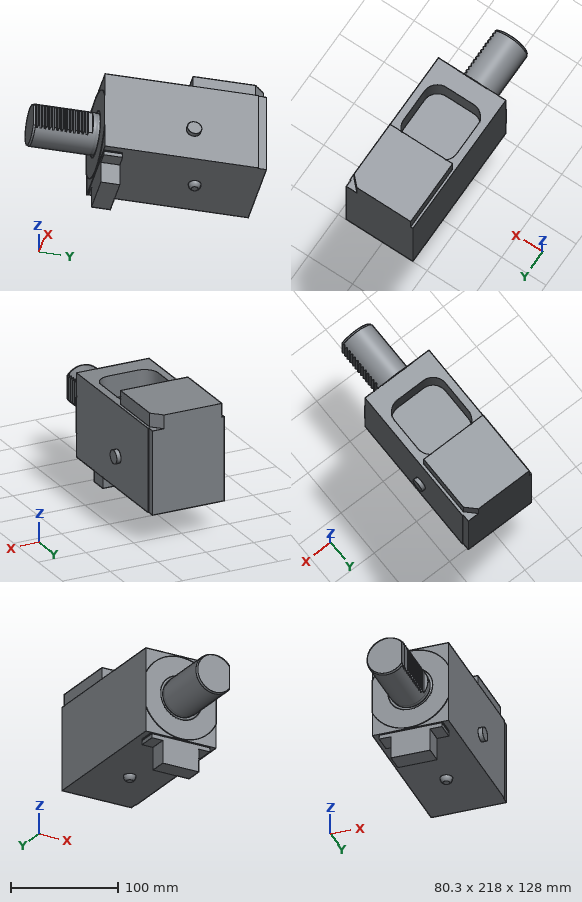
import cadquery as cq


body_width = 75.9
body_height = 85.5
body_length = 154.5
body_half_width = body_width / 2
body_top = 43.0
body_bottom = body_top - body_height

step_depth = 0.9
step_length = 7.8

pad_width = 70.5
pad_length = 69.8
pad_height = 14.0
pad_offset = -0.2
pad_corner_cut = 10.0

pocket_width = 60.0
pocket_length = 63.9
pocket_depth = 23.3
pocket_corner_radius = 14.5
pocket_center_y = 52.3

disc_diameter = 83.7
disc_height = 0.7
recess_diameter = 44.5

overall_length = 218
shank_diameter = 40.0
neck_diameter = 38.8
neck_length = 4.0
shank_length = overall_length - body_length
shank_radius = shank_diameter / 2
neck_radius = neck_diameter / 2
tip_chamfer_length = 2.0
tip_chamfer_depth = 0.9
shoulder_chamfer_length = 2.0

seal_radius = (recess_diameter - neck_diameter) / 4
seal_center_radius = (recess_diameter + neck_diameter) / 4
recess_floor_y = seal_radius - disc_height

flat_offset = 16.1
flat_start = 7.0
groove_count = 13
first_groove = 12.2
groove_span = 48
groove_pitch = groove_span / (groove_count - 1)
groove_depth = 1.5
groove_floor_width = 1.0
groove_mouth_width = 2.8

pin_diameter = 13.7
pin_length = 4.4
pin_y = 84.5
pin_z = -9.2

foot_length = 18.0
foot_plate_width = 62.5
foot_plate_height = 5.2
foot_stem_width = 39.0
foot_height = 28.5
foot_lip_width = 63.9
foot_lip_height = 1.0
foot_lip_setback = 0.1
foot_lip_corner_cut = 1.0
foot_setback = 0.2

ball_diameter = 12.0
ball_flat_diameter = 6.3
ball_y = 94.5


def block(width, length, height, x_center, y_start, z_start):
    """Box centred in X, running back from y_start and up from z_start."""
    return (
        cq.Workplane("XY")
        .box(width, length, height, centered=(True, False, False))
        .translate((x_center, y_start, z_start))
    )


def forward_cylinder(diameter, y_start, length):
    """Cylinder on the shank axis, running toward -Y from y_start."""
    return (
        cq.Workplane("XZ", origin=(0, y_start, 0))
        .circle(diameter / 2)
        .extrude(length)
    )


def make_housing():
    housing = block(body_width, body_length, body_height, 0, 0, body_bottom)
    step = block(
        2 * step_depth, step_length, body_height,
        body_half_width, body_length - step_length, body_bottom,
    )
    pocket = (
        block(
            pocket_width, pocket_length, pocket_depth,
            0, pocket_center_y - pocket_length / 2, body_top - pocket_depth,
        )
        .edges("|Z")
        .fillet(pocket_corner_radius)
    )
    return housing.cut(step).cut(pocket)


def make_pad():
    pad = block(
        pad_width, pad_length, pad_height,
        pad_offset, body_length - pad_length, body_top,
    )
    return pad.edges("|Z and >X and >Y").chamfer(pad_corner_cut)


def make_front_disc():
    disc = forward_cylinder(disc_diameter, 0, disc_height)
    trim = block(body_width, disc_height, body_height, 0, -disc_height, body_bottom)
    return disc.intersect(trim)


def make_seal():
    """Exposed half of the seal ring, standing on the recess floor."""
    return (
        cq.Workplane("XY")
        .moveTo(seal_center_radius - seal_radius, recess_floor_y)
        .threePointArc(
            (seal_center_radius, recess_floor_y - seal_radius),
            (seal_center_radius + seal_radius, recess_floor_y),
        )
        .close()
        .revolve(360, (0, 0, 0), (0, 1, 0))
    )


def make_shank():
    """Turned shank with a reduced neck, a flat on one side and a chamfered tip."""
    shank = (
        cq.Workplane("XY")
        .moveTo(0, recess_floor_y)
        .lineTo(neck_radius, recess_floor_y)
        .lineTo(neck_radius, -neck_length + shoulder_chamfer_length)
        .lineTo(shank_radius, -neck_length)
        .lineTo(shank_radius, -shank_length)
        .lineTo(0, -shank_length)
        .close()
        .revolve(360, (0, 0, 0), (0, 1, 0))
    )
    flat_cut_depth = shank_radius - flat_offset
    flat_cut = block(
        flat_cut_depth, shank_length - flat_start, shank_diameter,
        flat_offset + flat_cut_depth / 2, -shank_length, -shank_radius,
    )
    shank = shank.cut(flat_cut)
    return shank.faces("<Y").edges().chamfer(tip_chamfer_length, tip_chamfer_depth)


def cut_rack(shank):
    """Mill the trapezoidal rack grooves across the flat."""
    floor_offset = flat_offset - groove_depth
    half_floor = groove_floor_width / 2
    half_mouth = groove_mouth_width / 2
    for index in range(groove_count):
        groove_y = -first_groove - index * groove_pitch
        groove = (
            cq.Workplane("XY")
            .moveTo(flat_offset, groove_y + half_mouth)
            .lineTo(floor_offset, groove_y + half_floor)
            .lineTo(floor_offset, groove_y - half_floor)
            .lineTo(flat_offset, groove_y - half_mouth)
            .close()
            .extrude(shank_radius, both=True)
        )
        shank = shank.cut(groove)
    return shank


def make_pin():
    return (
        cq.Workplane("YZ", origin=(body_half_width, pin_y, pin_z))
        .circle(pin_diameter / 2)
        .extrude(pin_length)
    )


def make_foot():
    """Stem and plate under the housing, with a thin, slightly larger lip against it."""
    def layer(width, height):
        return block(width, foot_length, height, 0, foot_setback, body_bottom - height)

    lip_length = foot_length + 2 * (foot_setback - foot_lip_setback)
    lip = (
        block(
            foot_lip_width, lip_length, foot_lip_height,
            0, foot_lip_setback, body_bottom - foot_lip_height,
        )
        .edges("|Z")
        .chamfer(foot_lip_corner_cut)
    )
    plate = layer(foot_plate_width, foot_plate_height)
    stem = layer(foot_stem_width, foot_height)
    return stem.union(plate).union(lip)


def make_ball():
    radius = ball_diameter / 2
    drop = (radius ** 2 - (ball_flat_diameter / 2) ** 2) ** 0.5
    ball = cq.Workplane("XY").sphere(radius)
    keep = cq.Workplane("XY").box(ball_diameter, ball_diameter, 2 * drop)
    return ball.intersect(keep).translate((0, ball_y, body_bottom))


recess = forward_cylinder(recess_diameter, recess_floor_y, seal_radius)

result = (
    make_housing()
    .union(make_pad())
    .union(make_front_disc())
    .cut(recess)
    .union(cut_rack(make_shank()))
    .union(make_seal())
    .union(make_pin())
    .union(make_foot())
    .union(make_ball())
)